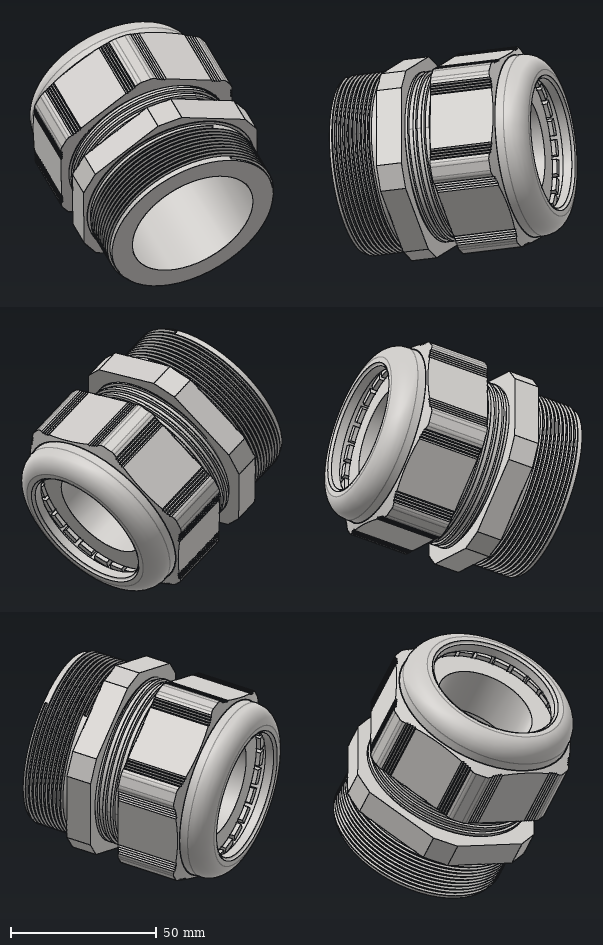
import cadquery as cq
import math


HEX_TURN = 0.4

NUT_LENGTH = 33.5
NUT_FACE_DIAMETER = 51.0
OPENING_DIAMETER = 45.2
LIP_ROUND = 0.95
OPENING_RIM_DIAMETER = OPENING_DIAMETER + 2 * LIP_ROUND
LIP_THICKNESS = 4.1
DOME_DIAMETER = 63.1
SHOULDER_DIAMETER = 63.55
DOME_ROUND = 7.3
DOME_ROUND_LENGTH = 7.15
HEX_START = 10.2
HEX_CONE_END = 12.15
NUT_ACROSS_FLATS = 65.05
NUT_HEIGHT = 72.3
NUT_TIP_WIDTH = 3.5
CORNER_ANGLE = 30.0
GRIP_START = 10.0
GRIP_END = 14.0
GRIP_GROOVES = 4
GRIP_DEPTH = 0.5

TOTAL_LENGTH = 71.0
COLLET_START = 7.4
COLLET_END = 23.1
COLLET_DIAMETER = 55.9
COLLET_BORE = 51.0
FINGER_COUNT = 24
FINGER_SLIT_WIDTH = 1.45
FINGER_SLIT_LENGTH = 13.0
FINGER_PHASE = 5.0
COLLAR_DIAMETER = 57.4
COLLAR_START = 24.6
COLLAR_PITCH = 3.0
COLLAR_CREST_DIAMETER = 59.3
COLLAR_CREST_WIDTH = 1.0
COLLAR_ROOT_WIDTH = 1.5
COLLAR_TURNS = 6
COLLAR_THREAD_END = 45.5
COLLAR_THREAD_ANGLE = 270.0
FLANGE_START = 43.8
FLANGE_WIDTH = 9.1
FLANGE_END = FLANGE_START + FLANGE_WIDTH
FLANGE_ACROSS_FLATS = 66.0
FLANGE_ACROSS_CORNERS = 71.0
RIM_DIAMETER = 63.55
RIM_WIDTH = 0.3
STUB_DIAMETER = 61.3
STUB_CREST_DIAMETER = 62.9
STUB_CREST_WIDTH = 0.15
STUB_ROOT_WIDTH = 1.15
STUB_TURNS = 10
STUB_THREAD_START = 54.9
STUB_THREAD_LENGTH = 15.0
STUB_PITCH = STUB_THREAD_LENGTH / STUB_TURNS
STUB_THREAD_ANGLE = 61.0
THROUGH_BORE = 45.8
RIDGE_OVERLAP = 0.15

SEAL_START = 9.0
SEAL_END = 26.0
SEAL_BORE = 35.0


def tube(start, end, outer_diameter, inner_diameter=0.0):
    """A cylinder or tube along X between two stations."""
    section = cq.Workplane("YZ", origin=(start, 0, 0)).circle(outer_diameter / 2)
    if inner_diameter:
        section = section.circle(inner_diameter / 2)
    return section.extrude(end - start)


def turned(y, z, degrees):
    """The point (y, z) turned about the X axis."""
    angle = math.radians(degrees)
    return (
        y * math.cos(angle) - z * math.sin(angle),
        y * math.sin(angle) + z * math.cos(angle),
    )


def hex_prism(side_points, start, end):
    """A prism whose outline repeats the points of one side, lying at +Y, six times."""
    outline = []
    for side in range(6):
        outline += [turned(y, z, 60 * side + HEX_TURN) for y, z in side_points]
    return cq.Workplane("YZ", origin=(start, 0, 0)).polyline(outline).close().extrude(end - start)


def helical_ridge(profile, pitch, turns, start, start_angle):
    """A right-handed ridge along X, from a profile of (radius, axial offset) points."""
    path = cq.Wire.makeHelix(pitch, pitch * turns, profile[0][0])
    ridge = cq.Workplane("XZ").polyline(profile).close().sweep(cq.Workplane(path), isFrenet=True)
    along_x = ridge.rotate((0, 0, 0), (0, 1, 0), 90)
    return along_x.rotate((0, 0, 0), (1, 0, 0), start_angle + 90).translate((start, 0, 0))


def ridge_profile(root_diameter, crest_diameter, root_width, crest_width):
    """A symmetric trapezoid whose foot is sunk slightly below the root."""
    foot = root_diameter / 2 - RIDGE_OVERLAP
    crest = crest_diameter / 2
    return [
        (foot, -root_width / 2),
        (crest, -crest_width / 2),
        (crest, crest_width / 2),
        (foot, root_width / 2),
    ]


def half_side_length(across_flats, across_corners):
    """Half the length left of a hexagon's side once flats cut off its corners."""
    return across_corners - across_flats * math.sqrt(3) / 2


def grip_strip(flat):
    """Points of the V grooves in one grip strip, from the middle of a side outwards."""
    pitch = (GRIP_END - GRIP_START) / GRIP_GROOVES
    points = [(flat, GRIP_START)]
    for groove in range(GRIP_GROOVES):
        z = GRIP_START + groove * pitch
        points.append((flat - GRIP_DEPTH, z + pitch / 2))
        points.append((flat, z + pitch))
    return points


def make_nut_hexagon():
    """The serrated hexagon with its corners cut flat, rounded and coned at the front."""
    flat = NUT_ACROSS_FLATS / 2
    turn = math.radians(HEX_TURN)
    across_corners = (NUT_HEIGHT - NUT_TIP_WIDTH * math.sin(turn)) / math.cos(turn)
    half_side = half_side_length(NUT_ACROSS_FLATS, across_corners)
    upper = grip_strip(flat) + [(flat, half_side)]
    lower = [(y, -z) for y, z in reversed(upper)]
    prism = hex_prism(lower + upper, HEX_START, NUT_LENGTH)

    corner_angle = math.radians(CORNER_ANGLE)
    half_tip = (flat * math.tan(corner_angle) - half_side) * math.cos(corner_angle)
    corner_round = (half_tip - NUT_TIP_WIDTH / 2) / math.tan(corner_angle / 2)
    prism = (
        prism.edges("|X")
        .filter(lambda edge: math.hypot(edge.Center().y, edge.Center().z) > across_corners / 2)
        .fillet(corner_round)
    )

    shoulder = SHOULDER_DIAMETER / 2
    cone_slope = (NUT_HEIGHT / 2 - shoulder) / (HEX_CONE_END - HEX_START)
    cone = (
        cq.Workplane("XY")
        .moveTo(HEX_START, 0)
        .lineTo(HEX_START, shoulder)
        .lineTo(NUT_LENGTH, shoulder + cone_slope * (NUT_LENGTH - HEX_START))
        .lineTo(NUT_LENGTH, 0)
        .close()
        .revolve(360, (0, 0, 0), (1, 0, 0))
    )
    return prism.intersect(cone)


def make_flange():
    """A plain hexagon whose corners are cut flat."""
    flat = FLANGE_ACROSS_FLATS / 2
    half_side = half_side_length(FLANGE_ACROSS_FLATS, FLANGE_ACROSS_CORNERS)
    side = [(flat, -half_side), (flat, half_side)]
    return hex_prism(side, FLANGE_START, FLANGE_END)


def make_nut():
    """The rounded dome and hexagon, hollowed for the collet and the collar."""
    face = NUT_FACE_DIAMETER / 2
    dome = DOME_DIAMETER / 2
    dome_shell = (
        cq.Workplane("XY")
        .lineTo(0, face)
        .radiusArc((DOME_ROUND_LENGTH, dome), DOME_ROUND)
        .lineTo(NUT_LENGTH, dome)
        .lineTo(NUT_LENGTH, 0)
        .close()
        .revolve(360, (0, 0, 0), (1, 0, 0))
    )
    opening = (
        cq.Workplane("XY")
        .lineTo(0, OPENING_RIM_DIAMETER / 2)
        .radiusArc((LIP_ROUND, OPENING_DIAMETER / 2), LIP_ROUND)
        .lineTo(LIP_THICKNESS, OPENING_DIAMETER / 2)
        .lineTo(LIP_THICKNESS, 0)
        .close()
        .revolve(360, (0, 0, 0), (1, 0, 0))
    )
    nut = dome_shell.union(make_nut_hexagon()).cut(opening)
    nut = nut.cut(tube(LIP_THICKNESS, COLLET_END, COLLET_DIAMETER))
    return nut.cut(tube(COLLET_END, NUT_LENGTH, COLLAR_CREST_DIAMETER))


def make_collar():
    """The coarse-threaded collar, its thread running out inside the flange."""
    profile = ridge_profile(
        COLLAR_DIAMETER, COLLAR_CREST_DIAMETER, COLLAR_ROOT_WIDTH, COLLAR_CREST_WIDTH
    )
    thread_start = COLLAR_THREAD_END - COLLAR_TURNS * COLLAR_PITCH
    thread = helical_ridge(profile, COLLAR_PITCH, COLLAR_TURNS, thread_start, COLLAR_THREAD_ANGLE)
    return tube(COLLAR_START, FLANGE_END, COLLAR_DIAMETER).union(thread)


def make_stub():
    """The fine-threaded stub with the thin rim against the flange."""
    profile = ridge_profile(STUB_DIAMETER, STUB_CREST_DIAMETER, STUB_ROOT_WIDTH, STUB_CREST_WIDTH)
    thread = helical_ridge(profile, STUB_PITCH, STUB_TURNS, STUB_THREAD_START, STUB_THREAD_ANGLE)
    rim = tube(FLANGE_END, FLANGE_END + RIM_WIDTH, RIM_DIAMETER)
    return tube(FLANGE_END, TOTAL_LENGTH, STUB_DIAMETER).union(thread).union(rim)


def cut_finger_slits(body):
    """Divide the front of the collet into equal fingers."""
    slit = cq.Workplane("XY", origin=(COLLET_START, 0, 0)).box(
        FINGER_SLIT_LENGTH, COLLET_DIAMETER, FINGER_SLIT_WIDTH, centered=(False, False, True)
    )
    for finger in range(FINGER_COUNT):
        angle = FINGER_PHASE + finger * 360 / FINGER_COUNT
        body = body.cut(slit.rotate((0, 0, 0), (1, 0, 0), angle))
    return body


def make_body():
    """Collet, collar, flange and stub in one piece, bored through with a step for the seal."""
    body = tube(COLLET_START, COLLAR_START, COLLET_DIAMETER)
    body = body.union(make_collar()).union(make_flange()).union(make_stub())
    body = body.cut(tube(COLLET_START, SEAL_END, COLLET_BORE))
    body = body.cut(tube(SEAL_END, TOTAL_LENGTH, THROUGH_BORE))
    return cut_finger_slits(body)


def make_seal():
    """The ring held inside the collet, against the step of the body bore."""
    return tube(SEAL_START, SEAL_END, COLLET_BORE, SEAL_BORE)


nut = make_nut().solids().val()
body = make_body().solids().val()
seal = make_seal().solids().val()
result = cq.Compound.makeCompound([nut, body, seal])